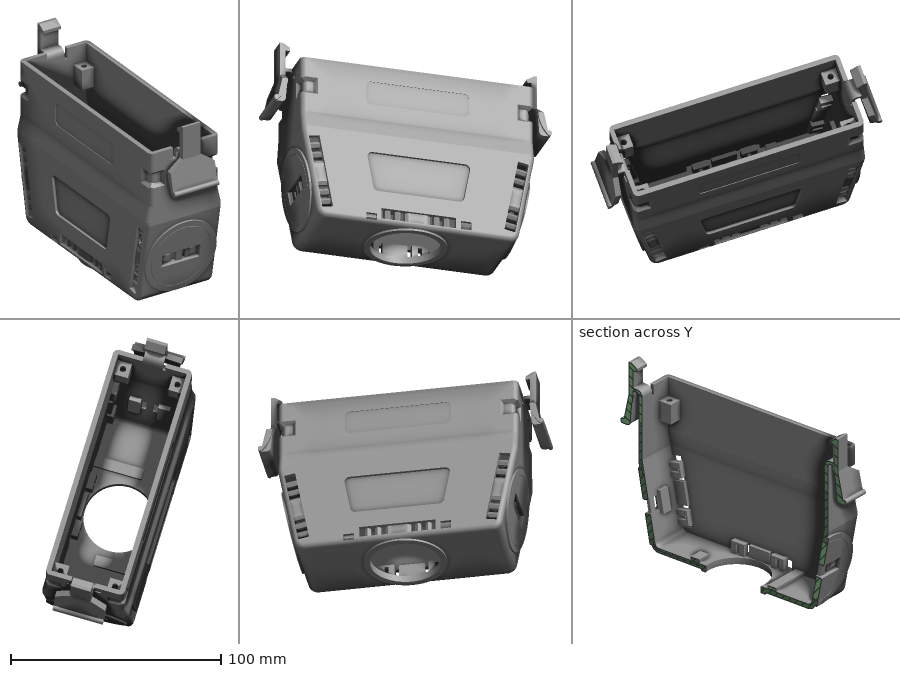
import cadquery as cq
import math

RIM_Z = 84.2
RIM_HALF_X = 58.0
RIM_HALF_Y = 19.5
LOWER_HALF_Y = 21.5
FLARE_TOP_Z = 55.7
FLARE_BOTTOM_Z = 47.5
SLANT_TOP_Z = 45.5
SLANT_ANGLE = 10.5
BOTTOM_CORNER_RADIUS = 5.0
EDGE_RADIUS = 2.5
WALL = 2.5
END_WALL = 2.2

BOSS_DIAMETER = 40.0
BOSS_HEIGHT = 1.0
ENTRY_DIAMETER = 34.0
END_ENTRY_Z = 23.3
PLUG_DIAMETER = 33.5
PLUG_GROOVE_DEPTH = 0.5
PLUG_REACH = 11.1

BASE_Z = BOSS_HEIGHT
FLOOR_Z = BASE_Z + WALL
SLANT = math.tan(math.radians(SLANT_ANGLE))
SLANT_COS = math.cos(math.radians(SLANT_ANGLE))
END_ENTRY_X = RIM_HALF_X - (SLANT_TOP_Z - END_ENTRY_Z) * SLANT
CAVITY_HALF_X = RIM_HALF_X - END_WALL
CAVITY_HALF_Y = RIM_HALF_Y - WALL
CAVITY_LOWER_HALF_Y = LOWER_HALF_Y - WALL

KEY_SLOT_HEIGHT = 7.2
KEY_SLOT_DEPTH = 1.7
KEY_HOLE_INNER_Y = 1.7
KEY_HOLE_OUTER_Y = 4.0
CHAMBER_OUTER_Y = 10.8
CHAMBER_DEPTH = 2.2
KEY_STUD_SIZE = 3.2
KEY_STUD_HEIGHT = 0.7
PLUG_BLOCK_INNER_Y = 4.5
PLUG_BLOCK_OUTER_Y = 10.1
PLUG_BLOCK_LENGTH = 12.2
PLUG_BLOCK_DEPTH = 4.7

WINDOW_LENGTH = 37.1
WINDOW_HEIGHT = 5.4
RIB_WIDTH = 2.9
RIB_PITCH = 5.0
FIRST_RIB = 9.7
RIB_RECESS = 1.4
RIB_CREST_Y = LOWER_HALF_Y - RIB_RECESS
RIB_SHOULDER_Y = CAVITY_LOWER_HALF_Y
RIB_INNER_Y = 15.8
CENTRE_BLOCK_HALF = 4.7
CENTRE_BLOCK_FOOT = 6.2
LEDGE_HEIGHT = 1.1

LABEL_HALF_LENGTH = 25.6
PLATE_HALF_TOP = 26.0
PLATE_HALF_BOTTOM = 22.3
PLATE_TOP_Z = 37.8
PLATE_BOTTOM_Z = 17.7
PLATE_DEPTH = 1.4
LABEL_CENTRE_Z = 69.8
LABEL_HEIGHT = 11.9
LABEL_DEPTH = 0.3
PLATE_RADIUS = 2.5

GRIP_CENTRE_Z = 69.8
GRIP_HEIGHT = 8.5
GRIP_LENGTH = 8.3
GRIP_DEPTH = 1.8
GRIP_BEVEL = 1.5
GRIP_CORE_RADIUS = 2.1
POST_LENGTH = 7.3
POST_WIDTH = 6.9
POST_BOTTOM_Z = 63.7
POST_TOP_Z = 74.2
SCREW_DIAMETER = 3.0
SCREW_DEPTH = 8.3

LAP_WIDTH = 2.9
LAP_THICKNESS = 1.2
LAP_END_X = 18.7
TAB_CENTRE_X = 23.5
TAB_LENGTH = 5.3
TAB_REACH = 5.0
TAB_HEIGHT = 2.0
LOW_NICK = (2.4, 3.5, 5.7)
HIGH_NICK = (3.5, 6.5, 7.6)
NICK_TOP_DEPTH = 1.4
NICK_NOSE_DEPTH = 0.4
NICK_BOTTOM_DEPTH = 2.4

STRAP_HALF_WIDTH = 5.0
STRAP_THICKNESS = 1.7
STRAP_BEND_RADIUS = 3.3
STRAP_BEVEL = 0.8
LEG_BOTTOM_Z = 65.9
ARM_OUTER_X = 64.1
ARM_INNER_X = 61.4
HOOK_TOP_Z = 97.4
HOOK_PEAK_X = 62.6
HOOK_TIP_X = 59.0
HOOK_TIP_Z = 95.1
HOOK_UNDER_Z = 93.5
LEVER_TOP_Z = 80.2
LEVER_WIDE_Z = 75.2
LEVER_HALF_WIDTH = 12.5
LEVER_BOTTOM_Z = 63.5
LEVER_END_X = 69.2
GRIP_BAR_RADIUS = 1.4
LEVER_KNEE_X = 62.3
LEVER_TOE_X = 63.2
LEVER_TOE_RADIUS = 2.1
TOE_INSET = 1.1
TOE_MIDDLE = (64.0, 68.7)
TOE_END_X = 67.7
LATCH_GAP_Y = 6.5
LATCH_GAP_Z = 78.7
NUB_OUTER_Y = 8.3
NUB_TALL = 1.0
NUB_HEIGHT = 0.4

BIG = 166.2


def block(x_range, y_range, z_range):
    """Box between the given limits."""
    size = [high - low for low, high in (x_range, y_range, z_range)]
    corner = (x_range[0], y_range[0], z_range[0])
    return cq.Workplane("XY").box(*size, centered=False).translate(corner)


def half_turn(body):
    return body.rotate((0, 0, 0), (0, 0, 1), 180)


def with_half_turn(body):
    return body.union(half_turn(body))


def at_end_entry(body, side):
    """Move a body built around the Z axis, with +Z inwards, onto the end entry at side = -1 or +1."""
    turned = body.rotate((0, 0, 0), (0, 1, 0), -side * (90 - SLANT_ANGLE))
    return turned.translate((side * END_ENTRY_X, 0, END_ENTRY_Z))


def at_floor_entry(body):
    return body.translate((0, 0, BASE_Z))


def tapered_hull(bottom_z, slant_inset, rim_half_x, rim_half_y, lower_half_y, corner_radius):
    """Body common to the end-on and side-on outlines; slant_inset moves the leaning walls inwards."""
    kink_z = SLANT_TOP_Z + (slant_inset / SLANT_COS - (RIM_HALF_X - rim_half_x)) / SLANT
    bottom_half_x = rim_half_x - (kink_z - bottom_z) * SLANT
    long_outline = [
        (-rim_half_x, RIM_Z), (-rim_half_x, kink_z), (-bottom_half_x, bottom_z),
        (bottom_half_x, bottom_z), (rim_half_x, kink_z), (rim_half_x, RIM_Z),
    ]
    cross_outline = [
        (-rim_half_y, RIM_Z), (-rim_half_y, FLARE_TOP_Z), (-lower_half_y, FLARE_BOTTOM_Z),
        (-lower_half_y, bottom_z), (lower_half_y, bottom_z), (lower_half_y, FLARE_BOTTOM_Z),
        (rim_half_y, FLARE_TOP_Z), (rim_half_y, RIM_Z),
    ]
    long_body = cq.Workplane("XZ").polyline(long_outline).close().extrude(BIG / 2, both=True)
    long_body = long_body.edges("|Y and <Z").fillet(corner_radius)
    cross_body = cq.Workplane("YZ").polyline(cross_outline).close().extrude(BIG / 2, both=True)
    return long_body.intersect(cross_body)


def is_rounded_edge(edge):
    """Edges that frame the two side faces, apart from the rim and the two flare lines."""
    centre = edge.Center()
    on_side = abs(centre.y) > RIM_HALF_Y - EDGE_RADIUS
    flare_line = abs(centre.x) < 1.4 and centre.z > FLOOR_Z
    return on_side and not flare_line


def make_outer_hull():
    hull = tapered_hull(BASE_Z, 0, RIM_HALF_X, RIM_HALF_Y, LOWER_HALF_Y, BOTTOM_CORNER_RADIUS)
    framing = [edge for edge in hull.edges().vals() if is_rounded_edge(edge)]
    return hull.newObject(framing).fillet(EDGE_RADIUS)


def make_cavity(growth=0.0):
    """Inside of the housing; growth moves its surface outwards into the wall."""
    return tapered_hull(
        FLOOR_Z - growth, WALL - growth, CAVITY_HALF_X + growth, CAVITY_HALF_Y + growth,
        CAVITY_LOWER_HALF_Y + growth, BOTTOM_CORNER_RADIUS - WALL + growth,
    )


def entry_boss():
    return cq.Workplane("XY").circle(BOSS_DIAMETER / 2).extrude(-BOSS_HEIGHT)


def entry_cylinder(start, end, diameter=ENTRY_DIAMETER):
    return cq.Workplane("XY").workplane(offset=start).circle(diameter / 2).extrude(end - start)


def mirrored_in_y(body):
    return body.union(body.mirror("XZ"))


def plug_pockets():
    """Material removed from a plug: outline groove, key slot, through holes and studded chambers."""
    face_z = -BOSS_HEIGHT
    groove_floor = face_z + PLUG_GROOVE_DEPTH
    groove = entry_cylinder(face_z, groove_floor, ENTRY_DIAMETER)
    groove = groove.cut(entry_cylinder(face_z, groove_floor, PLUG_DIAMETER))

    chamber_floor = face_z + CHAMBER_DEPTH
    height = (-KEY_SLOT_HEIGHT / 2, KEY_SLOT_HEIGHT / 2)
    slot = block(height, (0, KEY_HOLE_OUTER_Y), (face_z, face_z + KEY_SLOT_DEPTH))
    hole = block(height, (KEY_HOLE_INNER_Y, KEY_HOLE_OUTER_Y), (face_z, PLUG_REACH))
    chamber = block(height, (KEY_HOLE_OUTER_Y, CHAMBER_OUTER_Y), (face_z, chamber_floor))
    stud = cq.Workplane("XY", origin=(0, (KEY_HOLE_OUTER_Y + CHAMBER_OUTER_Y) / 2, chamber_floor))
    stud = stud.rect(KEY_STUD_SIZE, KEY_STUD_SIZE).extrude(-KEY_STUD_HEIGHT)
    return groove.union(mirrored_in_y(slot.union(hole).union(chamber.cut(stud))))


def plug_blocks():
    """Two upright blocks on the inner face of a plug, behind its chambers."""
    height = (-PLUG_BLOCK_LENGTH / 2, PLUG_BLOCK_LENGTH / 2)
    width = (PLUG_BLOCK_INNER_Y, PLUG_BLOCK_OUTER_Y)
    return mirrored_in_y(block(height, width, (WALL, PLUG_BLOCK_DEPTH)))


def window_opening():
    """Opening through both side walls beside an entry."""
    half = WINDOW_LENGTH / 2
    return block((-half, half), (-BIG / 2, BIG / 2), (WALL, WALL + WINDOW_HEIGHT))


def window_ribs():
    """Pointed ribs, middle block and ledges that stand in one pair of windows."""
    half_rib = RIB_WIDTH / 2
    rib_height = WINDOW_HEIGHT + LEDGE_HEIGHT
    block_outline = [
        (-CENTRE_BLOCK_FOOT, CAVITY_HALF_Y), (CENTRE_BLOCK_FOOT, CAVITY_HALF_Y),
        (CENTRE_BLOCK_FOOT, RIB_SHOULDER_Y), (CENTRE_BLOCK_HALF, RIB_CREST_Y),
        (-CENTRE_BLOCK_HALF, RIB_CREST_Y), (-CENTRE_BLOCK_FOOT, RIB_SHOULDER_Y),
    ]
    base = cq.Workplane("XY").workplane(offset=WALL)
    ribs = base.polyline(block_outline).close().extrude(rib_height)
    for direction in (-1, 1):
        for number in range(2):
            centre = direction * (FIRST_RIB + number * RIB_PITCH)
            rib_outline = [
                (centre - half_rib, RIB_INNER_Y), (centre + half_rib, RIB_INNER_Y),
                (centre + half_rib, RIB_SHOULDER_Y), (centre, RIB_CREST_Y),
                (centre - half_rib, RIB_SHOULDER_Y),
            ]
            ribs = ribs.union(base.polyline(rib_outline).close().extrude(rib_height))
        ends = sorted([direction * (FIRST_RIB - half_rib), direction * (FIRST_RIB + RIB_PITCH + half_rib)])
        ledge_bottom = WALL + WINDOW_HEIGHT
        ledge = block(ends, (RIB_INNER_Y, RIB_CREST_Y), (ledge_bottom, ledge_bottom + LEDGE_HEIGHT))
        ribs = ribs.union(ledge)
    return mirrored_in_y(ribs)


def name_plates():
    """Shallow label and deeper name plate recess in both side walls."""
    plate_outline = [
        (-PLATE_HALF_TOP, PLATE_TOP_Z), (PLATE_HALF_TOP, PLATE_TOP_Z),
        (PLATE_HALF_BOTTOM, PLATE_BOTTOM_Z), (-PLATE_HALF_BOTTOM, PLATE_BOTTOM_Z),
    ]
    plate = cq.Workplane("XZ", origin=(0, -LOWER_HALF_Y, 0)).polyline(plate_outline).close()
    plate = plate.extrude(-PLATE_DEPTH).edges("|Y").fillet(PLATE_RADIUS)
    label = cq.Workplane("XZ", origin=(0, -RIM_HALF_Y, LABEL_CENTRE_Z))
    label = label.rect(2 * LABEL_HALF_LENGTH, LABEL_HEIGHT).extrude(-LABEL_DEPTH)
    label = label.edges("|Y").fillet(PLATE_RADIUS)
    return with_half_turn(plate.union(label))


def nick(centre_x, heights):
    """Notch in the -Y wall with a nose pointing outwards from its back face."""
    bottom_z, nose_z, top_z = heights
    outline = [
        (-LOWER_HALF_Y, bottom_z), (-LOWER_HALF_Y, top_z), (-LOWER_HALF_Y + NICK_TOP_DEPTH, top_z),
        (-LOWER_HALF_Y + NICK_NOSE_DEPTH, nose_z), (-LOWER_HALF_Y + NICK_BOTTOM_DEPTH, bottom_z),
    ]
    prism = cq.Workplane("YZ", origin=(centre_x, 0, 0)).polyline(outline).close()
    return prism.extrude(TAB_LENGTH / 2, both=True)


def joint_nicks():
    return with_half_turn(nick(-TAB_CENTRE_X, LOW_NICK).union(nick(TAB_CENTRE_X, HIGH_NICK)))


def corner_grip():
    """Bevelled recess that wraps round the (-X, -Y) corner."""
    overrun = EDGE_RADIUS
    length = GRIP_LENGTH + overrun

    def tapered_recess(face, centre):
        mouth = cq.Workplane(face).center(centre, 0).rect(length, GRIP_HEIGHT)
        floor = mouth.workplane(offset=-GRIP_DEPTH).center(-GRIP_BEVEL / 2, 0)
        return floor.rect(length - GRIP_BEVEL, GRIP_HEIGHT - 2 * GRIP_BEVEL).loft(combine=True)

    to_centre = (GRIP_LENGTH - overrun) / 2
    front_face = cq.Plane(origin=(0, -RIM_HALF_Y, GRIP_CENTRE_Z), xDir=(1, 0, 0), normal=(0, -1, 0))
    end_face = cq.Plane(origin=(-RIM_HALF_X, 0, GRIP_CENTRE_Z), xDir=(0, 1, 0), normal=(-1, 0, 0))
    grip = tapered_recess(front_face, to_centre - RIM_HALF_X)
    grip = grip.union(tapered_recess(end_face, to_centre - RIM_HALF_Y))
    core_edge = cq.selectors.NearestToPointSelector(
        (-RIM_HALF_X + GRIP_DEPTH, -RIM_HALF_Y + GRIP_DEPTH, GRIP_CENTRE_Z))
    return grip.edges("|Z").edges(core_edge).fillet(GRIP_CORE_RADIUS)


def screw_post():
    """Post with a screw hole in the (-X, -Y) corner of the cavity."""
    x_range = (-CAVITY_HALF_X, -CAVITY_HALF_X + POST_LENGTH)
    y_range = (-CAVITY_HALF_Y, -CAVITY_HALF_Y + POST_WIDTH)
    post = block(x_range, y_range, (POST_BOTTOM_Z, POST_TOP_Z))
    hole_x = -CAVITY_HALF_X + POST_LENGTH / 2
    hole_y = -CAVITY_HALF_Y + POST_WIDTH / 2
    hole = cq.Workplane("XY", origin=(hole_x, hole_y, POST_TOP_Z))
    return post.cut(hole.circle(SCREW_DIAMETER / 2).extrude(-SCREW_DEPTH))


def four_corners(body):
    pair = body.union(body.mirror("XZ"))
    return pair.union(pair.mirror("YZ"))


def latch_nubs():
    """Small raised nubs beside the straps on the end walls."""
    x_range = (-RIM_HALF_X - NUB_HEIGHT, -RIM_HALF_X)
    nub = block(x_range, (STRAP_HALF_WIDTH, NUB_OUTER_Y), (LATCH_GAP_Z - NUB_TALL, LATCH_GAP_Z))
    return with_half_turn(mirrored_in_y(nub))


def latch_notches():
    """Seats for the latch legs in the end walls, with clearance beside each strap."""
    x_range = (-RIM_HALF_X, -CAVITY_HALF_X)
    seat = block(x_range, (-STRAP_HALF_WIDTH, STRAP_HALF_WIDTH), (LEG_BOTTOM_Z, RIM_Z))
    gap = block(x_range, (STRAP_HALF_WIDTH, LATCH_GAP_Y), (LATCH_GAP_Z, RIM_Z))
    return with_half_turn(seat.union(gap))


def make_shell():
    """Complete housing, before it is divided into its two halves."""
    shell = make_outer_hull().union(latch_nubs()).union(at_floor_entry(entry_boss()))
    for side in (-1, 1):
        shell = shell.union(at_end_entry(entry_boss(), side))
    shell = shell.cut(make_cavity())
    shell = shell.cut(at_floor_entry(entry_cylinder(-BOSS_HEIGHT, WALL)))
    shell = shell.cut(at_floor_entry(window_opening())).union(at_floor_entry(window_ribs()))
    for side in (-1, 1):
        shell = shell.cut(at_end_entry(window_opening(), side))
        shell = shell.union(at_end_entry(window_ribs(), side))
        shell = shell.union(at_end_entry(plug_blocks(), side))
        shell = shell.cut(at_end_entry(plug_pockets(), side))
    shell = shell.union(four_corners(screw_post())).cut(four_corners(corner_grip()))
    return shell.cut(name_plates()).cut(joint_nicks()).cut(latch_notches())


def front_half_region():
    """Space of the -Y half: lap strip added at the +X end, plug added at the -X end."""
    region = block((-BIG, BIG), (-BIG, 0), (-BIG, BIG))
    lap_layer = make_cavity(LAP_THICKNESS).cut(make_cavity())
    lap = lap_layer.intersect(block((LAP_END_X, BIG), (0, LAP_WIDTH), (0, SLANT_TOP_Z)))
    plug = at_end_entry(entry_cylinder(-BOSS_HEIGHT, PLUG_REACH), -1)
    region = region.union(lap).cut(half_turn(lap))
    return region.union(plug).cut(half_turn(plug))


def make_housing_half():
    half = make_shell().intersect(front_half_region())
    x_range = (-TAB_CENTRE_X - TAB_LENGTH / 2, -TAB_CENTRE_X + TAB_LENGTH / 2)
    tab = block(x_range, (-CAVITY_LOWER_HALF_Y, TAB_REACH), (FLOOR_Z, FLOOR_Z + TAB_HEIGHT))
    return half.union(tab)


def make_latch():
    """Hooked arm with a finger lever, hung from a strap over the -X end of the rim."""
    bar_x = -LEVER_END_X + GRIP_BAR_RADIUS
    bar_z = LEVER_BOTTOM_Z + GRIP_BAR_RADIUS
    hook_and_arm = [
        (-ARM_OUTER_X, LEVER_TOP_Z), (-ARM_OUTER_X, HOOK_TOP_Z), (-HOOK_PEAK_X, HOOK_TOP_Z),
        (-HOOK_TIP_X, HOOK_TIP_Z), (-HOOK_TIP_X, HOOK_UNDER_Z), (-ARM_INNER_X, HOOK_UNDER_Z),
        (-ARM_INNER_X, LEVER_TOP_Z),
    ]
    arm = cq.Workplane("XZ").polyline(hook_and_arm).close().extrude(STRAP_HALF_WIDTH, both=True)

    lever = (
        cq.Workplane("XZ").moveTo(-ARM_OUTER_X, LEVER_TOP_Z)
        .lineTo(bar_x + GRIP_BAR_RADIUS / 2, bar_z + GRIP_BAR_RADIUS * math.sin(math.radians(60)))
        .threePointArc((-LEVER_END_X, bar_z), (bar_x, LEVER_BOTTOM_Z))
        .lineTo(-LEVER_TOE_X - LEVER_TOE_RADIUS, LEVER_BOTTOM_Z)
        .radiusArc((-LEVER_TOE_X, LEVER_BOTTOM_Z + LEVER_TOE_RADIUS), -LEVER_TOE_RADIUS)
        .lineTo(-LEVER_KNEE_X, LEVER_WIDE_Z)
        .lineTo(-ARM_INNER_X, LEVER_TOP_Z).close().extrude(LEVER_HALF_WIDTH, both=True)
    )
    lever_face = [
        (-STRAP_HALF_WIDTH, LEVER_TOP_Z), (-LEVER_HALF_WIDTH, LEVER_WIDE_Z),
        (-LEVER_HALF_WIDTH, LEVER_BOTTOM_Z), (LEVER_HALF_WIDTH, LEVER_BOTTOM_Z),
        (LEVER_HALF_WIDTH, LEVER_WIDE_Z), (STRAP_HALF_WIDTH, LEVER_TOP_Z),
    ]
    lever = lever.intersect(cq.Workplane("YZ").polyline(lever_face).close().extrude(-BIG))

    toe_middle_x, toe_middle_z = TOE_MIDDLE
    toe_side = (
        cq.Workplane("XZ", origin=(0, -LEVER_HALF_WIDTH, 0)).moveTo(-LEVER_KNEE_X, LEVER_WIDE_Z)
        .threePointArc((-toe_middle_x, toe_middle_z), (-TOE_END_X, LEVER_BOTTOM_Z))
        .lineTo(-ARM_INNER_X, LEVER_BOTTOM_Z).lineTo(-ARM_INNER_X, LEVER_WIDE_Z).close().extrude(-TOE_INSET)
    )
    lever = lever.cut(mirrored_in_y(toe_side))

    strap_under_z = RIM_Z - STRAP_THICKNESS
    strap = (
        cq.Workplane("XZ").moveTo(-ARM_INNER_X, RIM_Z).lineTo(-CAVITY_HALF_X - STRAP_BEND_RADIUS, RIM_Z)
        .radiusArc((-CAVITY_HALF_X, RIM_Z - STRAP_BEND_RADIUS), STRAP_BEND_RADIUS)
        .lineTo(-CAVITY_HALF_X, LEG_BOTTOM_Z).lineTo(-RIM_HALF_X, LEG_BOTTOM_Z)
        .lineTo(-RIM_HALF_X, strap_under_z - STRAP_BEVEL)
        .lineTo(-RIM_HALF_X - STRAP_BEVEL, strap_under_z)
        .lineTo(-ARM_INNER_X, strap_under_z).close().extrude(STRAP_HALF_WIDTH, both=True)
    )
    return arm.union(lever).union(strap)


housing_half = make_housing_half().solids().val()
latch = make_latch().solids().val()

bodies = []
for angle in (0, 180):
    for body in (housing_half, latch):
        bodies.append(body.rotate(cq.Vector(0, 0, 0), cq.Vector(0, 0, 1), angle))

result = cq.Compound.makeCompound(bodies)